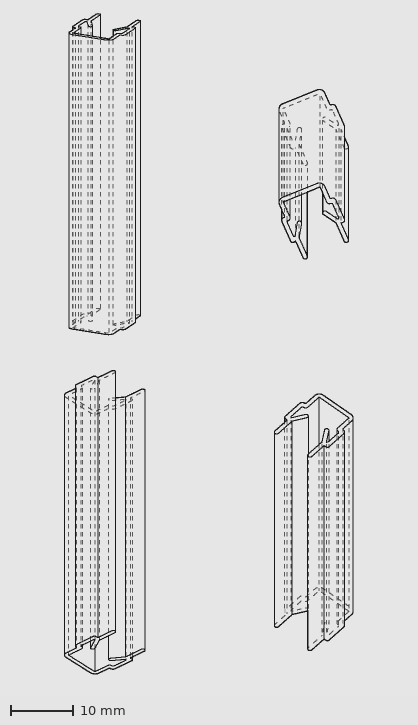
import cadquery as cq
import math

length = 50.0
depth = 11.0
bulge_width = 9.4
wall = 0.75
bulge_step = 0.75
bulge_bottom = 3.2
bulge_top = 7.65
lip_root = 7.3
lip_angle = math.radians(58)
lip_length = 2.45
lip_thickness = 0.7

base_radius = 0.95
bulge_top_radius = 0.35
bulge_bottom_radius = 0.55
bulge_root_radius = 0.15
ledge_outer_radius = 0.45
ledge_inner_radius = 0.25
pocket_radius = 0.15

bulge_x = bulge_width / 2
outer_x = bulge_x - bulge_step
inner_x = outer_x - wall
pocket_x = bulge_x - wall
ledge_y = bulge_bottom + wall
y_start = -depth / 2


def offset(point, direction, distance):
    return (point[0] + direction[0] * distance, point[1] + direction[1] * distance)


lip_direction = (-math.cos(lip_angle), -math.sin(lip_angle))
lip_normal = (math.sin(lip_angle), -math.cos(lip_angle))
lip_start = (inner_x, lip_root)
lip_inner_end = offset(lip_start, lip_direction, lip_length)
lip_outer_end = offset(lip_inner_end, lip_normal, lip_thickness)
lip_tip = offset(offset(lip_inner_end, lip_normal, lip_thickness / 2), lip_direction, lip_thickness / 2)

pocket_top = lip_outer_end[1] + (pocket_x - lip_outer_end[0]) * math.tan(lip_angle)

half = (
    cq.Workplane("XY", origin=(0, y_start, 0))
    .lineTo(outer_x, 0)
    .lineTo(outer_x, bulge_bottom)
    .lineTo(bulge_x, bulge_bottom)
    .lineTo(bulge_x, bulge_top)
    .lineTo(outer_x, bulge_top)
    .lineTo(outer_x, depth - wall / 2)
    .threePointArc((outer_x - wall / 2, depth), (inner_x, depth - wall / 2))
    .lineTo(*lip_start)
    .lineTo(*lip_inner_end)
    .threePointArc(lip_tip, lip_outer_end)
    .lineTo(pocket_x, pocket_top)
    .lineTo(pocket_x, ledge_y)
    .lineTo(inner_x, ledge_y)
    .lineTo(inner_x, wall)
    .lineTo(0, wall)
    .close()
    .extrude(length)
)

rounded_corners = [
    (outer_x, 0, base_radius),
    (outer_x, bulge_bottom, bulge_root_radius),
    (bulge_x, bulge_bottom, bulge_bottom_radius),
    (bulge_x, bulge_top, bulge_top_radius),
    (pocket_x, pocket_top, pocket_radius),
    (pocket_x, ledge_y, ledge_inner_radius),
    (inner_x, ledge_y, ledge_outer_radius),
]
for x, y, radius in rounded_corners:
    corner = cq.NearestToPointSelector((x, y + y_start, length / 2))
    half = half.edges("|Z").edges(corner).fillet(radius)

channel = half.union(half.mirror("YZ")).clean()
result = channel.translate((0, 0, -length / 2))